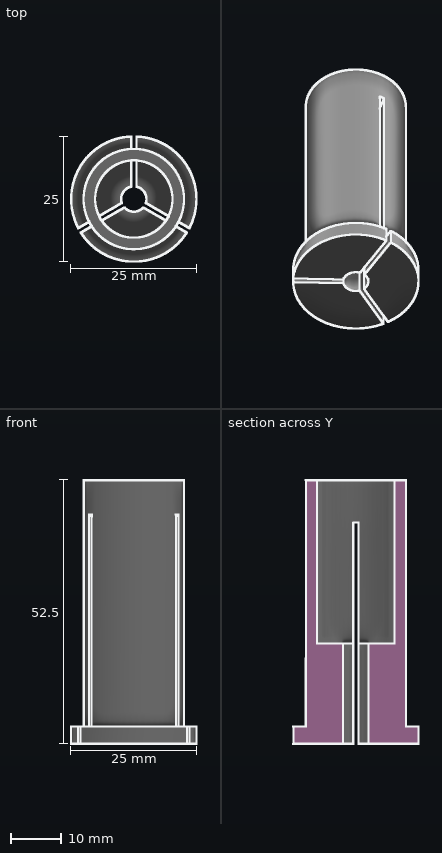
import cadquery as cq
import math

total_height = 52.5
flange_radius = 25.0 / 2
flange_height = 3.5
tube_radius = 20.0 / 2

bore_radius = 15.4 / 2
bore_floor_height = 20.0
end_hole_radius = 5.0 / 2

slot_count = 3
slot_width = 1.0
first_slot_angle = 90.0
slot_top_at_tube_wall = 45.7
slot_runout_angle = 36.0


def make_body():
    """Tube standing on a wider round flange."""
    flange = cq.Workplane("XY").circle(flange_radius).extrude(flange_height)
    tube = cq.Workplane("XY").circle(tube_radius).extrude(total_height)
    return flange.union(tube)


def make_bore():
    """Wide bore down to its floor, with a small hole from there through the bottom."""
    wide_bore = (
        cq.Workplane("XY")
        .workplane(offset=bore_floor_height)
        .circle(bore_radius)
        .extrude(total_height - bore_floor_height)
    )
    end_hole = cq.Workplane("XY").circle(end_hole_radius).extrude(bore_floor_height)
    return wide_bore.union(end_hole)


def make_slot(angle):
    """Slot from the axis out past the flange, with a sloping top edge."""
    slope = math.tan(math.radians(slot_runout_angle))
    top_at_axis = slot_top_at_tube_wall - tube_radius * slope
    top_at_rim = slot_top_at_tube_wall + (flange_radius - tube_radius) * slope
    outline = [(0, 0), (flange_radius, 0), (flange_radius, top_at_rim), (0, top_at_axis)]
    return (
        cq.Workplane("XZ")
        .polyline(outline)
        .close()
        .extrude(slot_width / 2, both=True)
        .rotate((0, 0, 0), (0, 0, 1), angle)
    )


result = make_body().cut(make_bore())
for index in range(slot_count):
    result = result.cut(make_slot(first_slot_angle + index * 360.0 / slot_count))